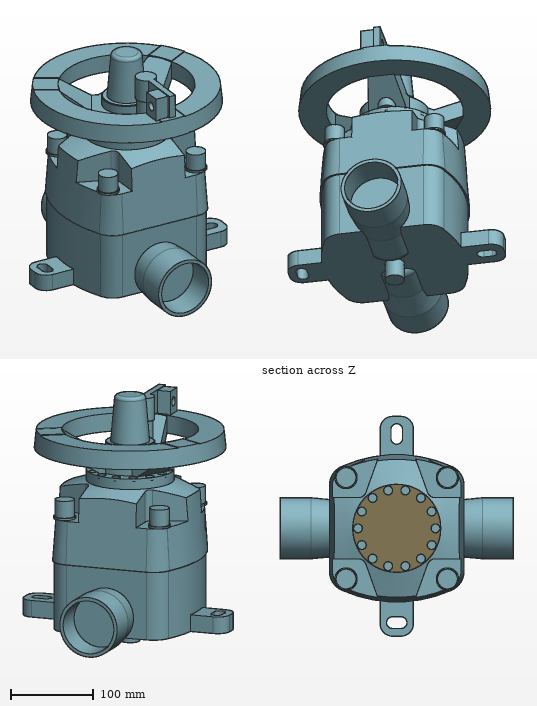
import cadquery as cq
import math

total_height = 308.7

body_bottom = 23.5
body_top = 108.7
body_half_x = 80.3
body_half_y = 88.0
side_flat_half_y = 52.2
corner_x = 64.5
corner_y = 74.5
stub_radius = 11.7

pipe_half_span = 142.0
pipe_radius = 37.5
pipe_bore_radius = 33.0
pipe_straight_length = 37.5
pipe_axis_z = 48.8
channel_radius = 33.5
channel_axis_z = 49.5
channel_inner_x = 12.5
neck_inner_x = 65.8
channel_end_fillet = 10.5

rear_lug_reach = 136.5
front_lug_reach = 131.5
lug_width = 40.7
lug_thickness = 21.0
lug_corner_radius = 15.5
lug_slot_length = 24.7
lug_slot_width = 14.0
lug_slot_y = 114.8

bonnet_overhang = 2.0
bonnet_draft_angle = 4.1
bonnet_shoulder_z = 162.5
arm_x_half_width = 37.5
arm_y_inner_half_width = 39.8
arm_y_outer_half_width = 24.7
arm_y_outer_y = 79.5
arm_fillet = 9.3
roof_reference_radius = 59.5
roof_reference_z = 200.5
roof_slope = 0.34

screw_offset = 61.7
screw_radius = 12.0
screw_top = 185.8
washer_radius = 13.5
washer_thickness = 2.5

flange_radius = 53.7
flange_bottom = 200.5
flange_top = 215.5
pocket_count = 14
pocket_radius = 5.2
pocket_circle_radius = 47.2
pocket_depth = 3.7

hub_bottom = 216.7
hub_top = 239.0
hub_radius = 42.5
collar_radius = 30.3
collar_top = 250.7
collar_chamfer = 1.0
rim_bottom = 242.5
rim_top = 265.2
rim_bottom_radius = 117.0
rim_top_radius = 114.5
rim_inner_radius = 83.5
spoke_angles = (0, 120, 240)
spoke_hub_half_width = 23.8
spoke_rim_half_width = 16.5
spoke_rim_overlap = 3.0
pad_height = 1.0

cap_base_radius = 23.8
cap_top_radius = 18.8
cap_fillet = 5.0
spindle_radius = 21.5

pin_x = 47.0
pin_radius = 11.0
pin_head_radius = 13.0
pin_head_bottom = 266.7
pin_top = 295.7
hasp_end_x = 110.5
hasp_min_y = -3.7
hasp_max_y = 4.5
block_min_x = 83.7
block_max_x = 106.8
block_min_y = -20.5
block_top = 294.8
padlock_hole_radius = 5.5
padlock_hole_x = 94.8
padlock_hole_z = 280.0


def cylinder(radius, bottom, top, x=0.0, y=0.0):
    return cq.Workplane("XY", origin=(x, y, bottom)).circle(radius).extrude(top - bottom)


def box_between(x_range, y_range, z_range):
    size = [high - low for low, high in (x_range, y_range, z_range)]
    corner = (x_range[0], y_range[0], z_range[0])
    return cq.Workplane("XY", origin=corner).box(*size, centered=False)


def body_outline(z):
    """Flat X sides, rounded corners and bowed Y sides."""
    corner_run = body_half_x - corner_x
    corner_rise = corner_y - side_flat_half_y
    corner_radius = (corner_run**2 + corner_rise**2) / (2 * corner_run)
    half_sweep = math.asin(corner_rise / corner_radius) / 2
    mid_x = body_half_x - corner_radius * (1 - math.cos(half_sweep))
    mid_y = side_flat_half_y + corner_radius * math.sin(half_sweep)
    return (
        cq.Workplane("XY", origin=(0, 0, z))
        .moveTo(body_half_x, -side_flat_half_y)
        .lineTo(body_half_x, side_flat_half_y)
        .threePointArc((mid_x, mid_y), (corner_x, corner_y))
        .threePointArc((0, body_half_y), (-corner_x, corner_y))
        .threePointArc((-mid_x, mid_y), (-body_half_x, side_flat_half_y))
        .lineTo(-body_half_x, -side_flat_half_y)
        .threePointArc((-mid_x, -mid_y), (-corner_x, -corner_y))
        .threePointArc((0, -body_half_y), (corner_x, -corner_y))
        .threePointArc((mid_x, -mid_y), (body_half_x, -side_flat_half_y))
        .close()
    )


def pipe_end():
    """Pipe stub on the +X side, narrowing into a channel that shows below the body."""
    neck_outer_x = pipe_half_span - pipe_straight_length
    pipe = (
        cq.Workplane("YZ", origin=(neck_outer_x, 0, pipe_axis_z))
        .circle(pipe_radius)
        .extrude(pipe_straight_length)
    )
    bore = (
        cq.Workplane("YZ", origin=(neck_outer_x, 0, pipe_axis_z))
        .circle(pipe_bore_radius)
        .extrude(pipe_straight_length)
    )
    neck = (
        cq.Workplane("YZ", origin=(neck_inner_x, 0, channel_axis_z))
        .circle(channel_radius)
        .workplane(offset=neck_outer_x - neck_inner_x)
        .center(0, pipe_axis_z - channel_axis_z)
        .circle(pipe_radius)
        .loft()
    )
    channel = (
        cq.Workplane("YZ", origin=(channel_inner_x, 0, channel_axis_z))
        .circle(channel_radius)
        .extrude(neck_inner_x - channel_inner_x)
        .faces("<X")
        .edges()
        .fillet(channel_end_fillet)
    )
    return channel.union(neck).union(pipe).cut(bore)


def lug(side, reach, slot_angle):
    """Slotted mounting lug on the +Y (side = 1) or -Y (side = -1) side."""
    plate = (
        cq.Workplane("XY", origin=(0, side * reach / 2, body_bottom))
        .rect(lug_width, reach)
        .extrude(lug_thickness)
        .edges("|Z")
        .edges(">Y" if side > 0 else "<Y")
        .fillet(lug_corner_radius)
    )
    slot = (
        cq.Workplane("XY", origin=(0, side * lug_slot_y, body_bottom))
        .slot2D(lug_slot_length, lug_slot_width, slot_angle)
        .extrude(lug_thickness)
    )
    return plate.cut(slot)


def corner_recess(sign_x, sign_y):
    """Open corner between two bonnet arms, standing on the screw shoulder."""
    far = 2 * body_half_y
    arm_y_lean = (arm_y_outer_half_width - arm_y_inner_half_width) / (arm_y_outer_y - arm_x_half_width)
    far_x = arm_y_inner_half_width + arm_y_lean * (far - arm_x_half_width)
    outline = [
        (arm_y_inner_half_width, arm_x_half_width),
        (far, arm_x_half_width),
        (far, far),
        (far_x, far),
    ]
    return (
        cq.Workplane("XY", origin=(0, 0, bonnet_shoulder_z))
        .polyline([(sign_x * x, sign_y * y) for x, y in outline])
        .close()
        .extrude(total_height - bonnet_shoulder_z)
        .edges(cq.NearestToPointSelector((
            sign_x * arm_y_inner_half_width,
            sign_y * arm_x_half_width,
            (bonnet_shoulder_z + total_height) / 2,
        )))
        .fillet(arm_fillet)
    )


def bonnet():
    """Drafted block under a conical roof, cut back at the corners to leave a cross."""
    roof_radius = 2 * body_half_y
    eave_z = roof_reference_z - roof_slope * (roof_radius - roof_reference_radius)
    peak_z = roof_reference_z + roof_slope * roof_reference_radius
    roof_space = (
        cq.Workplane("XZ")
        .polyline([(0, body_top), (roof_radius, body_top), (roof_radius, eave_z), (0, peak_z)])
        .close()
        .revolve(360, (0, 0, 0), (0, 1, 0))
    )
    block = (
        body_outline(body_top)
        .offset2D(bonnet_overhang)
        .extrude(flange_top - body_top, taper=bonnet_draft_angle)
        .intersect(roof_space)
    )
    for sign_x in (-1, 1):
        for sign_y in (-1, 1):
            block = block.cut(corner_recess(sign_x, sign_y))
    return block


def cap_screw(x, y):
    washer_top = bonnet_shoulder_z + washer_thickness
    washer = cylinder(washer_radius, bonnet_shoulder_z, washer_top, x, y)
    return washer.union(cylinder(screw_radius, washer_top, screw_top, x, y))


def indexing_flange():
    pockets = (
        cq.Workplane("XY", origin=(0, 0, flange_top - pocket_depth))
        .polarArray(pocket_circle_radius, 0, 360, pocket_count)
        .circle(pocket_radius)
        .extrude(pocket_depth)
    )
    return cylinder(flange_radius, flange_bottom, flange_top).cut(pockets)


def rim():
    """Rim with a leaning outer face and a slightly raised pad over each spoke."""
    pad_top = rim_top + pad_height
    lean = (rim_bottom_radius - rim_top_radius) / (rim_top - rim_bottom)
    ring = (
        cq.Workplane("XZ")
        .polyline([
            (rim_inner_radius, rim_bottom),
            (rim_bottom_radius, rim_bottom),
            (rim_top_radius - lean * pad_height, pad_top),
            (rim_inner_radius, pad_top),
        ])
        .close()
        .revolve(360, (0, 0, 0), (0, 1, 0))
    )
    lowered = cylinder(rim_bottom_radius, rim_top, pad_top)
    pad = box_between(
        (0, rim_bottom_radius),
        (-spoke_rim_half_width, spoke_rim_half_width),
        (rim_top, pad_top),
    )
    for angle in spoke_angles:
        lowered = lowered.cut(pad.rotate((0, 0, 0), (0, 0, 1), angle))
    return ring.cut(lowered)


def spoke():
    """Tapering spoke along +X that climbs from the hub to the rim."""
    narrowing = (spoke_hub_half_width - spoke_rim_half_width) / (rim_inner_radius - hub_radius)
    axis_half_width = spoke_hub_half_width + narrowing * hub_radius
    joint_radius = rim_inner_radius + spoke_rim_overlap
    joint_half_width = spoke_rim_half_width - narrowing * spoke_rim_overlap
    side_profile = (
        cq.Workplane("XZ")
        .polyline([
            (0, hub_bottom),
            (hub_radius, hub_bottom),
            (rim_inner_radius, rim_bottom),
            (joint_radius, rim_bottom),
            (joint_radius, rim_top),
            (rim_inner_radius, rim_top),
            (hub_radius, hub_top),
            (0, hub_top),
        ])
        .close()
        .extrude(axis_half_width, both=True)
    )
    plan = (
        cq.Workplane("XY", origin=(0, 0, hub_bottom))
        .polyline([
            (0, -axis_half_width),
            (joint_radius, -joint_half_width),
            (joint_radius, joint_half_width),
            (0, axis_half_width),
        ])
        .close()
        .extrude(rim_top - hub_bottom)
    )
    return side_profile.intersect(plan)


def handwheel():
    collar = cylinder(collar_radius, hub_top, collar_top).faces(">Z").chamfer(collar_chamfer)
    wheel = rim().union(cylinder(hub_radius, hub_bottom, hub_top)).union(collar)
    for angle in spoke_angles:
        wheel = wheel.union(spoke().rotate((0, 0, 0), (0, 0, 1), angle))
    return wheel


def spindle_cap():
    cap = (
        cq.Workplane("XY", origin=(0, 0, collar_top))
        .circle(cap_base_radius)
        .workplane(offset=total_height - collar_top)
        .circle(cap_top_radius)
        .loft()
        .faces(">Z")
        .edges()
        .fillet(cap_fillet)
    )
    return cap.union(cylinder(spindle_radius, flange_bottom, collar_top))


def lock():
    """Locking pin with a hasp plate and padlock block reaching over the rim."""
    pin = cylinder(pin_radius, flange_top, pin_head_bottom, pin_x)
    head = cylinder(pin_head_radius, pin_head_bottom, pin_top, pin_x)
    plate = box_between((pin_x, hasp_end_x), (hasp_min_y, hasp_max_y), (pin_head_bottom, pin_top))
    block = box_between((block_min_x, block_max_x), (block_min_y, hasp_min_y), (rim_top, block_top))
    hole = (
        cq.Workplane("XZ", origin=(padlock_hole_x, hasp_max_y, padlock_hole_z))
        .circle(padlock_hole_radius)
        .extrude(hasp_max_y - block_min_y)
    )
    return pin.union(head).union(plate).union(block).cut(hole)


result = body_outline(body_bottom).extrude(body_top - body_bottom)
result = result.union(cylinder(stub_radius, 0, body_bottom))
result = result.union(pipe_end()).union(pipe_end().mirror("YZ"))
result = result.union(lug(1, rear_lug_reach, 90)).union(lug(-1, front_lug_reach, 0))

result = result.union(bonnet())
for screw_x in (-screw_offset, screw_offset):
    for screw_y in (-screw_offset, screw_offset):
        result = result.union(cap_screw(screw_x, screw_y))
result = result.union(indexing_flange())

result = result.union(spindle_cap()).union(handwheel()).union(lock())